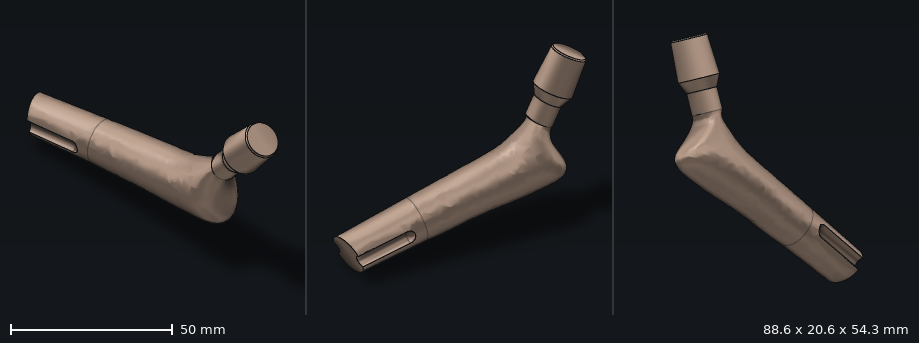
import cadquery as cq
import math

STEM_START = cq.Vector(-1.9, 9.7, 5.8)
STEM_TOP = cq.Vector(26.2, 9.8, 10.7)
STEM_START_THICKNESS = 13.55
STEM_TOP_THICKNESS = 15.05
STEM_START_WIDTH = 13.2
STEM_TOP_WIDTH = 14.6
STEM_AXIS = (STEM_TOP - STEM_START).normalized()

TIP_POINT = cq.Vector(2.0, 9.7, 6.8)
TIP_NORMAL = cq.Vector(-1, -0.2, -0.26)
CUT_SIZE = 53.1

FLUTE_RADIUS = 2.2
FLUTE_OFFSET = 6.8
FLUTE_ROLL = 10
FLUTE_END = 6.1

HEAD_TOP = cq.Vector(83.6, 14.5, 51.2)
NECK_BASE = cq.Vector(71.2, 11.8, 30.8)
NECK_AXIS = (HEAD_TOP - NECK_BASE).normalized()
NECK_THICKNESS = 8.85
NECK_WIDTH = 10.3
NECK_LENGTH = 7.1
FLARE_LENGTH = 3.8
HEAD_BASE_DIAMETER = 13.5
HEAD_TOP_DIAMETER = 11.9
HEAD_CHAMFER = 0.4

BODY_SECTIONS = [
    (cq.Vector(37.2, 9.9, 20.8), cq.Vector(40.7, 9.2, 5.3), 15.6),
    (cq.Vector(50.5, 10.2, 23.7), cq.Vector(54.4, 8, 7.3), 16.6),
    (cq.Vector(57.1, 11.1, 25.5), cq.Vector(70.4, 6.2, 9.9), 17.0),
    (cq.Vector(60.4, 11.95, 26.8), cq.Vector(76.05, 4.9, 12.8), 16.5),
    (cq.Vector(65.1, 11.95, 30.1), cq.Vector(75.7, 7.1, 19.5), 13.6),
]

SECTION_POINTS = 16


def ellipse_wire(center, long_axis, normal, thickness, width):
    """Smooth closed ellipse with its thickness along long_axis, starting at that end."""
    across = normal.cross(long_axis).normalized()
    points = []
    for step in range(SECTION_POINTS):
        angle = 2 * math.pi * step / SECTION_POINTS
        along_offset = long_axis * (thickness / 2 * math.cos(angle))
        across_offset = across * (width / 2 * math.sin(angle))
        points.append(center + along_offset + across_offset)
    return cq.Wire.assembleEdges([cq.Edge.makeSpline(points, periodic=True)])


def axis_section(center, axis, thickness, width):
    """Ellipse square to an axis, with its width lying along Y as nearly as possible."""
    long_axis = cq.Vector(0, 1, 0).cross(axis).normalized() * -1
    return ellipse_wire(center, long_axis, axis, thickness, width)


def body_section(medial, lateral, width):
    long_axis = (medial - lateral).normalized()
    normal = cq.Vector(0, 1, 0).cross(long_axis).normalized()
    return ellipse_wire((medial + lateral) * 0.5, long_axis, normal, (medial - lateral).Length, width)


stem_start_wire = axis_section(STEM_START, STEM_AXIS, STEM_START_THICKNESS, STEM_START_WIDTH)
stem_top_wire = axis_section(STEM_TOP, STEM_AXIS, STEM_TOP_THICKNESS, STEM_TOP_WIDTH)
body_wires = [body_section(*section) for section in BODY_SECTIONS]

neck_top = NECK_BASE + NECK_AXIS * NECK_LENGTH
head_base = neck_top + NECK_AXIS * FLARE_LENGTH
chamfer_base = HEAD_TOP - NECK_AXIS * HEAD_CHAMFER
rim_diameter = HEAD_TOP_DIAMETER - 2 * HEAD_CHAMFER
neck_wire = axis_section(NECK_BASE, NECK_AXIS, NECK_THICKNESS, NECK_WIDTH)
neck_top_wire = axis_section(neck_top, NECK_AXIS, NECK_THICKNESS, NECK_WIDTH)
head_base_wire = axis_section(head_base, NECK_AXIS, HEAD_BASE_DIAMETER, HEAD_BASE_DIAMETER)
chamfer_wire = axis_section(chamfer_base, NECK_AXIS, HEAD_TOP_DIAMETER, HEAD_TOP_DIAMETER)
rim_wire = axis_section(HEAD_TOP, NECK_AXIS, rim_diameter, rim_diameter)

loft = cq.occ_impl.shapes.loft
stem_skin = loft(stem_start_wire, stem_top_wire, ruled=True)
body_skin = loft(stem_top_wire, *body_wires, neck_wire, parametrization="chordal")
head_skin = loft(neck_wire, neck_top_wire, head_base_wire, chamfer_wire, rim_wire, ruled=True)

faces = [cq.Face.makeFromWires(stem_start_wire), cq.Face.makeFromWires(rim_wire)]
for skin in (stem_skin, body_skin, head_skin):
    faces.extend(skin.Faces())
blank = cq.Solid.makeSolid(cq.Shell.makeShell(faces)).fix()
result = cq.Workplane(blank)

tip_cut = cq.Workplane(cq.Plane(TIP_POINT, normal=TIP_NORMAL)).rect(CUT_SIZE, CUT_SIZE).extrude(CUT_SIZE)
result = result.cut(tip_cut)

flute_end = STEM_TOP - STEM_AXIS * FLUTE_END
flute_length = (flute_end - STEM_START).Length
stem_up = cq.Vector(0, 1, 0).cross(STEM_AXIS) * -1
roll = math.radians(FLUTE_ROLL)
for side in (-1, 1):
    radial = cq.Vector(0, side * math.cos(roll), 0) - stem_up.normalized() * (side * math.sin(roll))
    center = flute_end + radial * FLUTE_OFFSET
    groove = cq.Solid.makeCylinder(FLUTE_RADIUS, flute_length, center, STEM_AXIS * -1)
    ball = cq.Workplane("XY").sphere(FLUTE_RADIUS).translate(center)
    result = result.cut(cq.Workplane(groove).union(ball))